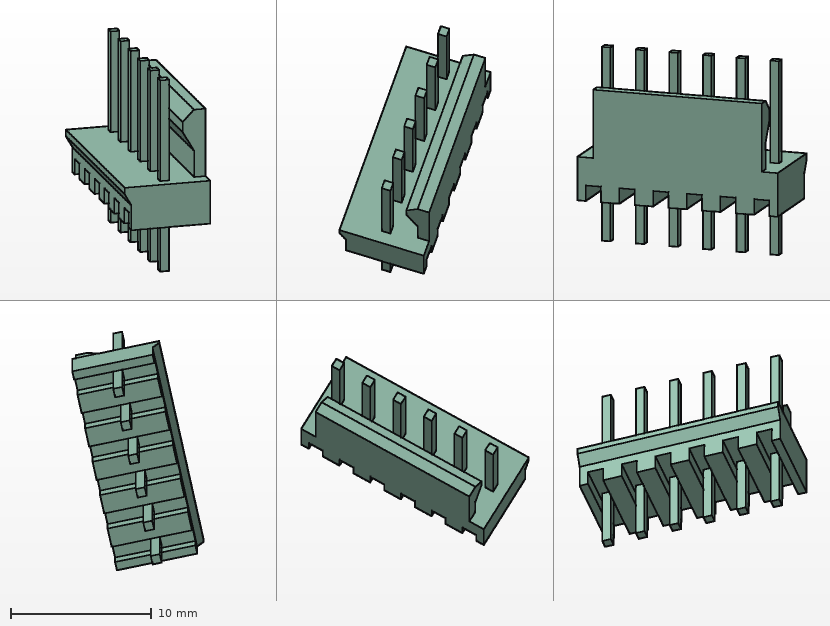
import cadquery as cq

length = 15.11
depth = 6.35
base_height = 3.2
lip_reach = 0.48
lip_face_height = 0.48
lip_height = 1.35

pin_count = 6
pin_pitch = 2.54
pin_size = 0.65
pin_above = 7.5
pin_below = 3.54
pin_from_back = 3.13

slot_width = 1.15
slot_depth = 1.15

wall_length = 12.72
wall_height = 5.02
wall_thickness = 0.85
hook_thickness = 1.7
hook_slope_start = 1.95
hook_slope_end = 3.41
hook_chamfer = 0.85

front = -depth / 2
back = depth / 2
pin_y = back - pin_from_back
pin_xs = [(i - (pin_count - 1) / 2) * pin_pitch for i in range(pin_count)]


def extrude_profile(points, width):
    """Extrude a (Y, Z) outline along X, centred on X = 0."""
    return cq.Workplane("YZ").polyline(points).close().extrude(width / 2, both=True)


def make_base():
    body_front = front + lip_reach
    return extrude_profile(
        [
            (back, 0),
            (back, base_height),
            (front, base_height),
            (front, base_height - lip_face_height),
            (body_front, base_height - lip_height),
            (body_front, 0),
        ],
        length,
    )


def make_latch_wall():
    top = base_height + wall_height
    return extrude_profile(
        [
            (back, base_height),
            (back, top),
            (back - hook_thickness + hook_chamfer, top),
            (back - hook_thickness, top - hook_chamfer),
            (back - hook_thickness, base_height + hook_slope_end),
            (back - wall_thickness, base_height + hook_slope_start),
            (back - wall_thickness, base_height),
        ],
        wall_length,
    )


def make_slot(x):
    return cq.Workplane("XY").center(x, 0).rect(slot_width, depth).extrude(slot_depth)


def make_pin(x):
    pin_length = pin_below + base_height + pin_above
    return (
        cq.Workplane("XY", origin=(x, pin_y, -pin_below))
        .rect(pin_size, pin_size)
        .extrude(pin_length)
    )


result = make_base().union(make_latch_wall())
for pin_x in pin_xs:
    result = result.cut(make_slot(pin_x))
for pin_x in pin_xs:
    result = result.union(make_pin(pin_x))